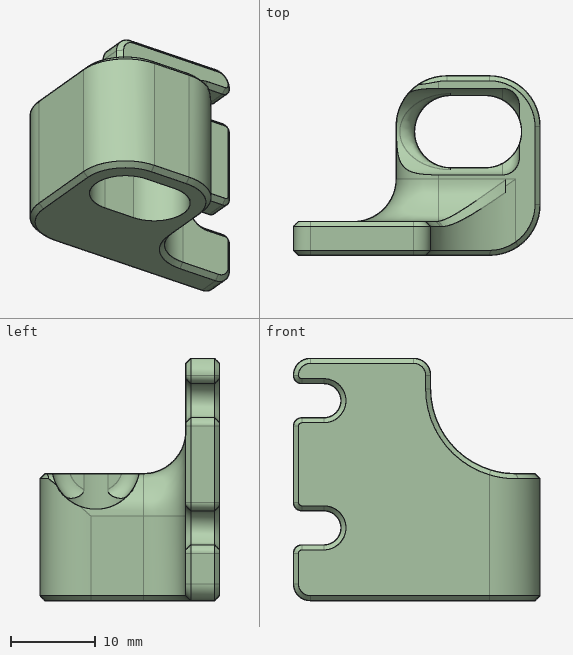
import cadquery as cq

WIDTH = 29.11
DEPTH = 21.2
HEIGHT = 28.6
EDGE_CHAMFER = 0.6

PLATE_THICKNESS = 4.0
PLATE_CORNER_RADIUS = 2.0

BLOCK_LENGTH = 17.0
BLOCK_HEIGHT = 15.0
BLOCK_CORNER_RADIUS = 6.0
BLOCK_LEFT = WIDTH - BLOCK_LENGTH

SHOULDER_RADIUS = 10.0
SHOULDER_CENTRE_X = 26.2
SHOULDER_LEFT = SHOULDER_CENTRE_X - SHOULDER_RADIUS
CHAMFER_END_X = 25.0

EDGE_ROUND = 5.0
BLEND_RADIUS = 5.0
BLEND_BACK = PLATE_THICKNESS + BLEND_RADIUS

NOTCH_RADIUS = 2.0
NOTCH_CENTRE_X = 3.6
NOTCH_MOUTH_RADIUS = 1.0
NOTCH_REACH = NOTCH_RADIUS + NOTCH_MOUTH_RADIUS
NOTCH_SPACING = 15.0
UPPER_NOTCH_Z = HEIGHT - PLATE_CORNER_RADIUS - NOTCH_REACH
LOWER_NOTCH_Z = UPPER_NOTCH_Z - NOTCH_SPACING

SLOT_LENGTH = 12.6
SLOT_WIDTH = 8.5
SLOT_X = BLOCK_LEFT + BLOCK_LENGTH / 2
SLOT_Y = 14.6
SLOT_LEFT_CENTRE_X = SLOT_X - (SLOT_LENGTH - SLOT_WIDTH) / 2

TROUGH_RADIUS = 5.2
TROUGH_AXIS_Z = 16.0
TROUGH_END_X = 26.67
TROUGH_END_FILLET = 2.0
LIP_FILLET = 1.75

TOLERANCE = 0.01
OVERCUT = 5.0


def box(x0, x1, y0, y1, z0, z1):
    """Box between two opposite corners."""
    size = (x1 - x0, y1 - y0, z1 - z0)
    return cq.Workplane("XY", origin=(x0, y0, z0)).box(*size, centered=False)


def make_blended_blank():
    """Oversized plate and block, joined by a blend that wraps over the block's rounded edge."""
    block = box(BLOCK_LEFT, WIDTH, 0, DEPTH, 0, BLOCK_HEIGHT)
    block = block.edges("|Y and <X and >Z").fillet(EDGE_ROUND)
    blank = box(0, WIDTH, 0, PLATE_THICKNESS, 0, HEIGHT).union(block)
    inner_corner = cq.selectors.BoxSelector(
        (BLOCK_LEFT - TOLERANCE, PLATE_THICKNESS - TOLERANCE, TOLERANCE),
        (WIDTH - TOLERANCE, PLATE_THICKNESS + TOLERANCE, BLOCK_HEIGHT + TOLERANCE),
    )
    return blank.edges(inner_corner).fillet(BLEND_RADIUS)


def make_footprint():
    """Outline in X-Y: three rounded block corners, with the plate and blend on the left."""
    right = box(BLOCK_LEFT, WIDTH, 0, DEPTH, 0, HEIGHT)
    right = right.edges("|Z").edges(">X or >Y").fillet(BLOCK_CORNER_RADIUS)
    left = box(0, BLOCK_LEFT, 0, BLEND_BACK, 0, HEIGHT)
    return right.union(left)


def make_front_outline():
    """Outline in X-Z, with the shoulder and the notches, through the full depth."""
    corner = PLATE_CORNER_RADIUS
    mouth = NOTCH_MOUTH_RADIUS
    outline = (
        cq.Workplane("XZ")
        .moveTo(0, corner)
        .radiusArc((corner, 0), -corner)
        .lineTo(WIDTH, 0)
        .lineTo(WIDTH, BLOCK_HEIGHT)
        .lineTo(SHOULDER_CENTRE_X, BLOCK_HEIGHT)
        .radiusArc((SHOULDER_LEFT, BLOCK_HEIGHT + SHOULDER_RADIUS), SHOULDER_RADIUS)
        .lineTo(SHOULDER_LEFT, HEIGHT - corner)
        .radiusArc((SHOULDER_LEFT - corner, HEIGHT), -corner)
        .lineTo(corner, HEIGHT)
        .radiusArc((0, HEIGHT - corner), -corner)
    )
    notches = ((UPPER_NOTCH_Z, LOWER_NOTCH_Z + NOTCH_REACH), (LOWER_NOTCH_Z, corner))
    for notch_z, edge_end_z in notches:
        top = notch_z + NOTCH_RADIUS
        bottom = notch_z - NOTCH_RADIUS
        outline = (
            outline.radiusArc((mouth, top), -mouth)
            .lineTo(NOTCH_CENTRE_X, top)
            .radiusArc((NOTCH_CENTRE_X, bottom), NOTCH_RADIUS)
            .lineTo(mouth, bottom)
            .radiusArc((0, notch_z - NOTCH_REACH), -mouth)
            .lineTo(0, edge_end_z)
        )
    return outline.close().extrude(-DEPTH)


def make_chamfered_body():
    """Plate and block with every outer edge chamfered."""
    front_outline = make_front_outline()
    footprint = make_footprint()
    round_end = BLOCK_LEFT + EDGE_ROUND
    round_base = BLOCK_HEIGHT - EDGE_ROUND

    square_edge = box(BLOCK_LEFT, round_end, BLEND_BACK, DEPTH, round_base, BLOCK_HEIGHT)
    chamfer_stop = box(
        CHAMFER_END_X, SHOULDER_CENTRE_X, PLATE_THICKNESS, BLEND_BACK, round_base, HEIGHT
    )
    body = make_blended_blank().union(square_edge)
    body = body.intersect(front_outline.union(chamfer_stop)).intersect(footprint)
    body = body.faces("<Y").edges().chamfer(EDGE_CHAMFER)

    round_core = (
        cq.Workplane("XZ", origin=(round_end, BLEND_BACK, round_base))
        .circle(EDGE_ROUND)
        .extrude(BLEND_BACK - DEPTH)
    )
    return body.intersect(front_outline).cut(square_edge.cut(round_core))


def cut_trough(body):
    """Trough along X with a rounded blind end."""
    start = BLOCK_LEFT - OVERCUT
    trough = (
        cq.Workplane("YZ", origin=(start, SLOT_Y, TROUGH_AXIS_Z))
        .circle(TROUGH_RADIUS)
        .extrude(TROUGH_END_X - start)
        .faces(">X")
        .edges()
        .fillet(TROUGH_END_FILLET)
    )
    return body.cut(trough)


def cut_slot(body):
    """Slot through the block, with a smooth lip where the trough runs into its left end."""
    slot = (
        cq.Workplane("XY", origin=(SLOT_X, SLOT_Y, 0))
        .slot2D(SLOT_LENGTH, SLOT_WIDTH)
        .extrude(BLOCK_HEIGHT)
    )
    left_end = slot.intersect(box(0, SLOT_LEFT_CENTRE_X, 0, DEPTH, 0, HEIGHT))
    near_lip = (SLOT_LEFT_CENTRE_X - SLOT_WIDTH / 2, SLOT_Y, TROUGH_AXIS_Z - TROUGH_RADIUS)
    lip = cq.selectors.NearestToPointSelector(near_lip)
    body = body.cut(left_end).edges(lip).fillet(LIP_FILLET)
    return body.cut(slot)


result = cut_slot(cut_trough(make_chamfered_body()))